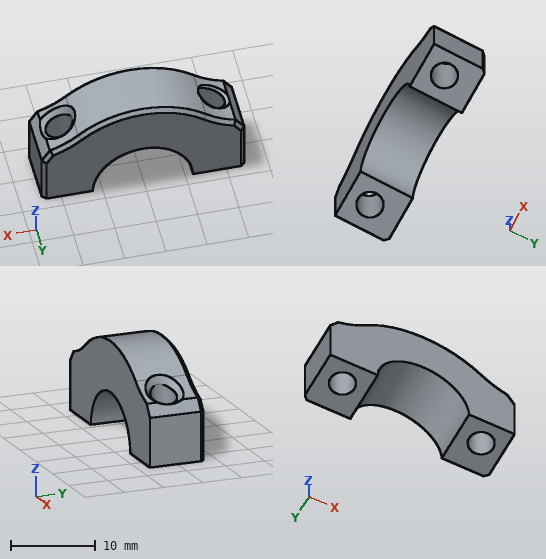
import cadquery as cq
import math

depth = 7.0
height = 12.1
left_wall_x = -12.37
right_wall_x = left_wall_x + 24.5
axis_z = -0.3
crown_radius = height - axis_z
bore_radius = 6.08

blend_radius = 10.22
blend_start_x = 7.72
left_shoulder_x = -11.32
right_shoulder_x = 11.15
left_wall_height = 6.2
right_wall_height = 6.15
back_chamfer = 0.5

hole_diameter = 3.18
hole_x = 9.2
hole_y = 2.96
sink_x = 9.35
left_sink_diameter = 3.77
right_sink_diameter = 4.48
sink_tilt = 29.0

blend_start_z = axis_z + math.sqrt(crown_radius**2 - blend_start_x**2)
center_ratio = (crown_radius + blend_radius) / crown_radius
blend_center_x = blend_start_x * center_ratio
blend_center_z = axis_z + (blend_start_z - axis_z) * center_ratio


def blend_point(x):
    """Point on the left or right concave blend at a given X."""
    offset = abs(x) - blend_center_x
    return x, blend_center_z - math.sqrt(blend_radius**2 - offset**2)


def make_body():
    left_middle_x = (left_shoulder_x - blend_start_x) / 2
    right_middle_x = (right_shoulder_x + blend_start_x) / 2
    body = (
        cq.Workplane("XZ")
        .moveTo(left_wall_x, 0)
        .lineTo(left_wall_x, left_wall_height)
        .lineTo(*blend_point(left_shoulder_x))
        .threePointArc(blend_point(left_middle_x), (-blend_start_x, blend_start_z))
        .threePointArc((0, height), (blend_start_x, blend_start_z))
        .threePointArc(blend_point(right_middle_x), blend_point(right_shoulder_x))
        .lineTo(right_wall_x, right_wall_height)
        .lineTo(right_wall_x, 0)
        .close()
        .extrude(-depth)
    )
    body = body.faces(">Y").edges("not <Z").chamfer(back_chamfer)
    bore = cq.Workplane("XZ").center(0, axis_z).circle(bore_radius).extrude(-depth)
    return body.cut(bore)


def make_screw_hole(side, sink_diameter):
    """Vertical through hole and 90 degree countersink; side is -1 for left, 1 for right."""
    hole = cq.Workplane("XY").center(side * hole_x, hole_y).circle(hole_diameter / 2).extrude(height)
    surface_x, surface_z = blend_point(side * sink_x)
    angle = math.radians(sink_tilt)
    outward = cq.Vector(side * math.sin(angle), 0, math.cos(angle))
    sink_radius = sink_diameter / 2
    apex = cq.Vector(surface_x, hole_y, surface_z) - outward * sink_radius
    cone_height = 2 * sink_radius
    sink = cq.Solid.makeCone(0, cone_height, cone_height, apex, outward)
    return hole.union(cq.Workplane(sink))


result = make_body()
result = result.cut(make_screw_hole(-1, left_sink_diameter))
result = result.cut(make_screw_hole(1, right_sink_diameter))